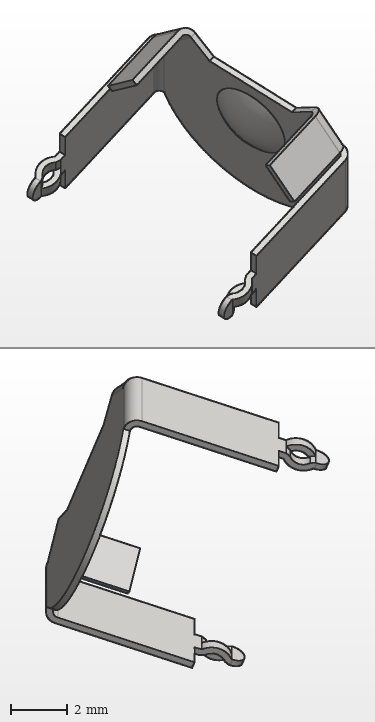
import cadquery as cq
import math

sheet = 0.25
bend_outer = 2 * sheet
bend_inner = bend_outer - sheet

overall_width = 9.3
side_outer_x = overall_width / 2 - sheet
side_bend_x = side_outer_x - bend_outer
plate_radius = 4.185
top_edge_z = 2.09
top_edge_half = 1.84

wall_height = 3.16
wall_depth = 5.71

total_height = 7.36
tab_tip_x = 3.07
tab_tip_z = total_height - plate_radius
tab_tilt = 40.0
tab_width = 1.71
tab_depth = 3.17

dome_radius = 1.52
dome_height = 0.5

lug_height = 0.96
lug_tip_depth = 7.62
bulge_center_depth = 6.55
bulge_half_length = 0.57
bulge_knee_half_length = 0.38
bulge_knee_offset = 0.07


def tab_point(outward, along):
    """XZ point of the right tab, measured from its upper outer corner."""
    tilt = math.radians(tab_tilt)
    x = tab_tip_x + outward * math.cos(tilt) + along * math.sin(tilt)
    z = tab_tip_z + outward * math.sin(tilt) - along * math.cos(tilt)
    return x, z


def bent_flap(depth, width):
    """Flap along -Y whose bend starts at X = 0, centred on Z = 0."""
    diagonal = math.sqrt(0.5)
    outer_mid = (bend_outer * diagonal, -bend_outer * (1 - diagonal))
    inner_mid = (bend_inner * diagonal, -bend_outer + bend_inner * diagonal)
    return (
        cq.Workplane("XY")
        .moveTo(0, 0)
        .threePointArc(outer_mid, (bend_outer, -bend_outer))
        .lineTo(bend_outer, -depth)
        .lineTo(bend_inner, -depth)
        .lineTo(bend_inner, -bend_outer)
        .threePointArc(inner_mid, (0, -sheet))
        .close()
        .extrude(width / 2, both=True)
    )


def back_plate():
    wall_half = wall_height / 2
    arc_end_x = math.sqrt(plate_radius**2 - wall_half**2)
    upper = tab_point(-bend_outer, 0)
    lower = tab_point(-bend_outer, tab_width)
    right_edge = [(side_bend_x, -wall_half), (side_bend_x, wall_half), lower, upper, (top_edge_half, top_edge_z)]
    left_edge = [(-x, z) for x, z in reversed(right_edge)]
    return (
        cq.Workplane("XZ")
        .moveTo(-arc_end_x, -wall_half)
        .threePointArc((0, -plate_radius), (arc_end_x, -wall_half))
        .polyline(right_edge + left_edge, includeCurrent=True)
        .close()
        .extrude(sheet)
    )


def dome():
    sphere_radius = (dome_radius**2 + dome_height**2) / (2 * dome_height)
    center_y = sphere_radius - dome_height - sheet
    sphere = cq.Workplane("XY").sphere(sphere_radius).translate((0, center_y, 0))
    front_side = cq.Workplane("XZ", origin=(0, -sheet / 2, 0)).circle(dome_radius).extrude(sheet + dome_height)
    return sphere.intersect(front_side)


def bulge(start_x, direction):
    """Half-height bowed strip, from the sheet face at start_x one sheet beyond the other face."""
    far_x = start_x + direction * sheet
    knee_x = start_x + direction * bulge_knee_offset
    near_y = -bulge_center_depth + bulge_half_length
    far_y = -bulge_center_depth - bulge_half_length
    return (
        cq.Workplane("XY")
        .moveTo(far_x, near_y)
        .threePointArc((far_x + direction * sheet, -bulge_center_depth), (far_x, far_y))
        .lineTo(start_x, far_y)
        .lineTo(knee_x, -bulge_center_depth - bulge_knee_half_length)
        .threePointArc((far_x, -bulge_center_depth), (knee_x, -bulge_center_depth + bulge_knee_half_length))
        .lineTo(start_x, near_y)
        .close()
        .extrude(direction * lug_height / 2)
    )


def lug():
    """Round-ended right lug: upper half bowed outward, lower half bowed inward."""
    half = lug_height / 2
    inner_x = side_outer_x - sheet
    round_center = -lug_tip_depth + half
    strip = (
        cq.Workplane("YZ", origin=(inner_x, 0, 0))
        .moveTo(-wall_depth, half)
        .lineTo(round_center, half)
        .threePointArc((-lug_tip_depth, 0), (round_center, -half))
        .lineTo(-wall_depth, -half)
        .close()
        .extrude(sheet)
    )
    bowed_zone = (
        cq.Workplane("XY")
        .box(sheet, 2 * bulge_half_length, lug_height)
        .translate((inner_x + sheet / 2, -bulge_center_depth, 0))
    )
    outward = bulge(inner_x, 1)
    inward = bulge(side_outer_x, -1)
    return strip.cut(bowed_zone).union(outward).union(inward)


def right_side():
    wall = bent_flap(wall_depth, wall_height).translate((side_bend_x, 0, 0))
    tab_x, tab_z = tab_point(-bend_outer, tab_width / 2)
    tab = (
        bent_flap(tab_depth, tab_width)
        .rotate((0, 0, 0), (0, 1, 0), -tab_tilt)
        .translate((tab_x, 0, tab_z))
    )
    return wall.union(lug()).union(tab)


right_half = right_side()
result = back_plate().union(dome()).union(right_half).union(right_half.mirror("YZ"))